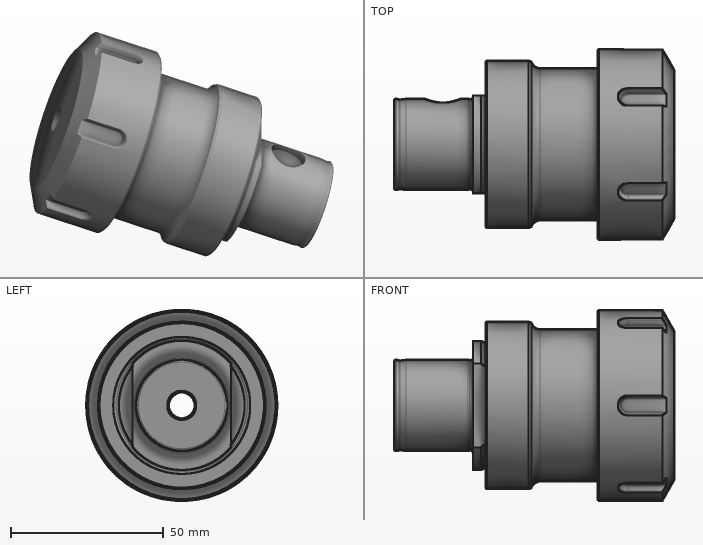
import cadquery as cq
import math

LENGTH = 92.0
BORE_D = 8.5
BORE_MOUTH_D = 9.5

SHANK_D = 30.0
SHANK_END_ROUND = 0.8
GROOVE_START = 0.85
GROOVE_FLOOR_START = 1.7
GROOVE_FLOOR_END = 2.0
GROOVE_END = 4.0
GROOVE_DEPTH = 0.25

POCKET_X = 16.0
POCKET_D = 12.0
POCKET_DEPTH = 3.0

FLANGE_X = 25.9
FLANGE_D = 42.4
FLAT_WIDTH = 32.2

SHANK_UNDERCUT_X = 24.2
SHANK_UNDERCUT_ANGLE = math.radians(17)
SHANK_UNDERCUT_ROUND = 0.85

COLLAR_UNDERCUT_X = 28.45
COLLAR_UNDERCUT_D = 45.0
COLLAR_UNDERCUT_ANGLE = math.radians(25)
COLLAR_UNDERCUT_ROUND = 0.65

COLLAR_X = 30.0
COLLAR_D = 55.0
COLLAR_CHAMFER = 0.5
COLLAR_BEVEL_LENGTH = 0.9
COLLAR_BEVEL_DROP = 0.4
NECK_D = 50.0
NECK_BLEND_END = 47.9
NECK_BLEND_RADIUS = 3.0

NUT_X = 66.7
NUT_D = 62.7
NUT_REAR_CHAMFER = 0.6
NOSE_X = 88.0
NOSE_D = 48.5

SLOT_COUNT = 6
SLOT_END_CENTRE_X = 76.8
SLOT_FLOOR_RADIUS = 28.87
SLOT_FLOOR_WIDTH = 4.9
SLOT_FLOOR_ROUND = 0.3
SLOT_DRAFT = math.radians(20)
SLOT_SHOULDER_RADIUS = 30.67
SLOT_MOUTH_SLOPE = math.radians(28)
CLEARANCE = 1.0


def turn(profile):
    """Revolve a closed (x, radius) profile about the X axis."""
    return profile.close().revolve(360, (0, 0, 0), (1, 0, 0))


def fillet_circle(body, x, radius, round_radius):
    """Round the circular edge that lies at this place along the axis and this radius."""
    corner = 0.01
    box = cq.selectors.BoxSelector(
        (x - corner, -radius - corner, -radius - corner),
        (x + corner, radius + corner, radius + corner),
        boundingbox=True,
    )
    return body.edges(box).fillet(round_radius)


def bore_tool():
    """Through bore with a small chamfer at the shank end."""
    lead = (BORE_MOUTH_D - BORE_D) / 2
    return turn(
        cq.Workplane("XY")
        .moveTo(0, 0)
        .lineTo(0, BORE_MOUTH_D / 2)
        .lineTo(lead, BORE_D / 2)
        .lineTo(LENGTH, BORE_D / 2)
        .lineTo(LENGTH, 0)
    )


def collar_undercut_corner():
    """Sharp corner where the two sloping sides of the collar undercut would meet."""
    slope = math.tan(COLLAR_UNDERCUT_ANGLE)
    flange_r = FLANGE_D / 2
    mouth_r = COLLAR_UNDERCUT_D / 2
    run = COLLAR_X - COLLAR_UNDERCUT_X
    drop = slope * (run + slope * (mouth_r - flange_r)) / (1 - slope**2)
    return COLLAR_UNDERCUT_X + drop / slope, flange_r - drop


def make_holder():
    """Shank, flange, collar and neck in one piece; the neck fills the socket of the nut."""
    shank_r = SHANK_D / 2
    flange_r = FLANGE_D / 2
    collar_r = COLLAR_D / 2
    neck_r = NECK_D / 2
    groove_r = shank_r - GROOVE_DEPTH
    shank_corner_r = shank_r - math.tan(SHANK_UNDERCUT_ANGLE) * (FLANGE_X - SHANK_UNDERCUT_X)
    corner_x, corner_r = collar_undercut_corner()

    blend_centre_r = neck_r + NECK_BLEND_RADIUS
    bevel_r = collar_r - COLLAR_BEVEL_DROP
    start_angle = math.asin((blend_centre_r - bevel_r) / NECK_BLEND_RADIUS)
    middle_angle = (start_angle + math.pi / 2) / 2
    blend_start = NECK_BLEND_END - NECK_BLEND_RADIUS * math.cos(start_angle)
    blend_middle = (
        NECK_BLEND_END - NECK_BLEND_RADIUS * math.cos(middle_angle),
        blend_centre_r - NECK_BLEND_RADIUS * math.sin(middle_angle),
    )

    holder = turn(
        cq.Workplane("XY")
        .moveTo(0, 0)
        .lineTo(0, shank_r - SHANK_END_ROUND)
        .radiusArc((SHANK_END_ROUND, shank_r), SHANK_END_ROUND)
        .lineTo(GROOVE_START, shank_r)
        .lineTo(GROOVE_FLOOR_START, groove_r)
        .lineTo(GROOVE_FLOOR_END, groove_r)
        .lineTo(GROOVE_END, shank_r)
        .lineTo(SHANK_UNDERCUT_X, shank_r)
        .lineTo(FLANGE_X, shank_corner_r)
        .lineTo(FLANGE_X, flange_r)
        .lineTo(COLLAR_UNDERCUT_X, flange_r)
        .lineTo(corner_x, corner_r)
        .lineTo(COLLAR_X, COLLAR_UNDERCUT_D / 2)
        .lineTo(COLLAR_X, collar_r - COLLAR_CHAMFER)
        .lineTo(COLLAR_X + COLLAR_CHAMFER, collar_r)
        .lineTo(blend_start - COLLAR_BEVEL_LENGTH, collar_r)
        .lineTo(blend_start, bevel_r)
        .threePointArc(blend_middle, (NECK_BLEND_END, neck_r))
        .lineTo(NOSE_X, neck_r)
        .lineTo(NOSE_X, 0)
    )
    holder = fillet_circle(holder, FLANGE_X, shank_corner_r, SHANK_UNDERCUT_ROUND)
    holder = fillet_circle(holder, corner_x, corner_r, COLLAR_UNDERCUT_ROUND)
    return holder.cut(flat_tools()).cut(pocket_tool()).cut(bore_tool())


def flat_tools():
    """Blocks that leave two parallel wrench flats on the flange."""
    depth = FLANGE_D / 2
    length = COLLAR_X - FLANGE_X
    return (
        cq.Workplane("XY")
        .pushPoints([(FLANGE_X + length / 2, side * (FLAT_WIDTH + depth) / 2) for side in (-1, 1)])
        .box(length, depth, FLANGE_D)
    )


def pocket_tool():
    """Round cutter that enters the shank from its +Y side."""
    return (
        cq.Workplane("XZ", origin=(POCKET_X, SHANK_D / 2, 0))
        .circle(POCKET_D / 2)
        .extrude(POCKET_DEPTH)
    )


def slot_half_section(plane):
    """Half outline of a slot across its length, from its middle plane (distance, height)."""
    floor_half = SLOT_FLOOR_WIDTH / 2 - SLOT_FLOOR_ROUND
    wall_foot = (
        floor_half + SLOT_FLOOR_ROUND * math.cos(SLOT_DRAFT),
        SLOT_FLOOR_RADIUS + SLOT_FLOOR_ROUND * (1 - math.sin(SLOT_DRAFT)),
    )
    wall_height = SLOT_SHOULDER_RADIUS - wall_foot[1]
    shoulder_half = wall_foot[0] + wall_height * math.tan(SLOT_DRAFT)
    top_radius = NUT_D / 2 + CLEARANCE
    top_half = shoulder_half + (top_radius - SLOT_SHOULDER_RADIUS) * math.tan(SLOT_MOUTH_SLOPE)
    return (
        cq.Workplane(plane)
        .moveTo(0, SLOT_FLOOR_RADIUS)
        .lineTo(floor_half, SLOT_FLOOR_RADIUS)
        .radiusArc(wall_foot, -SLOT_FLOOR_ROUND)
        .lineTo(shoulder_half, SLOT_SHOULDER_RADIUS)
        .lineTo(top_half, top_radius)
        .lineTo(0, top_radius)
        .close()
    )


def slot_tool():
    """One spanner slot, pointing along +Z: a round rear end and a straight run past the nose."""
    round_end = slot_half_section("XZ").revolve(360, (0, 0, 0), (0, 1, 0))
    half_run = slot_half_section("YZ").extrude(LENGTH - SLOT_END_CENTRE_X)
    run = half_run.union(half_run.mirror("XZ"))
    return round_end.union(run).translate((SLOT_END_CENTRE_X, 0, 0))


def make_nut():
    """Slotted nut with a conical nose and a blind socket for the neck."""
    nut_r = NUT_D / 2
    nut = turn(
        cq.Workplane("XY")
        .moveTo(NUT_X, 0)
        .lineTo(NUT_X, nut_r - NUT_REAR_CHAMFER)
        .lineTo(NUT_X + NUT_REAR_CHAMFER, nut_r)
        .lineTo(NOSE_X, nut_r)
        .lineTo(LENGTH, NOSE_D / 2)
        .lineTo(LENGTH, 0)
    )
    socket = (
        cq.Workplane("YZ", origin=(NUT_X, 0, 0)).circle(NECK_D / 2).extrude(NOSE_X - NUT_X)
    )
    nut = nut.cut(socket).cut(bore_tool())
    slot = slot_tool()
    first_angle = 90 - 360 / SLOT_COUNT
    for index in range(SLOT_COUNT):
        angle = first_angle + index * 360 / SLOT_COUNT
        nut = nut.cut(slot.rotate((0, 0, 0), (1, 0, 0), angle))
    return nut


holder = make_holder()
nut = make_nut()
result = cq.Compound.makeCompound([holder.solids().val(), nut.solids().val()])